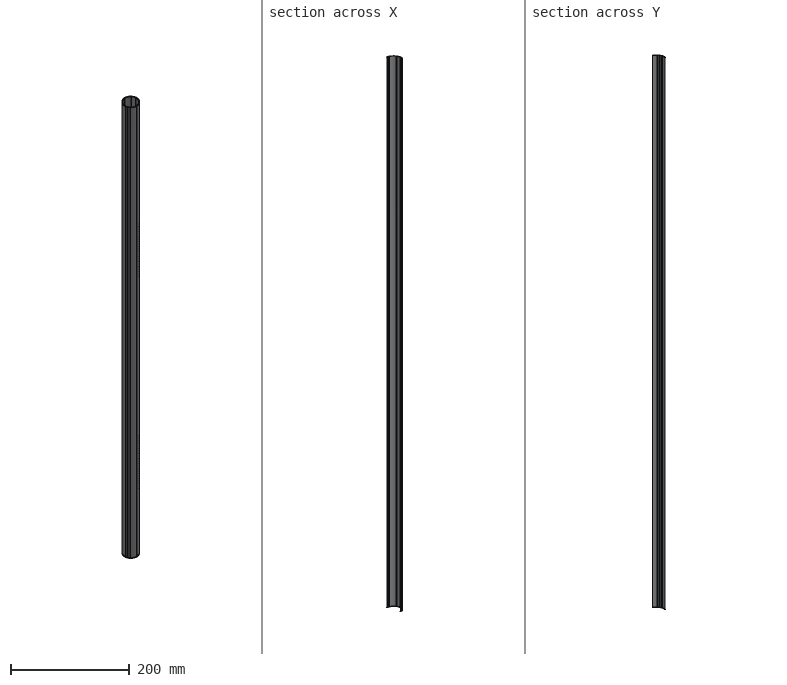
import cadquery as cq

outer_diameter = 30.0
wall_thickness = 1.5
length = 1000.0

rib_width = 1.0
rib_height = 0.5
rib_root = wall_thickness / 3
pair_half_angle = 18.0
axis_angles = (0.0, 90.0, 180.0, 270.0)
single_rib_angle = 270.0

outer_radius = outer_diameter / 2
bore_radius = outer_radius - wall_thickness


def make_tube():
    """Round tube centred on Z, standing on the XY plane."""
    return cq.Workplane("XY").circle(outer_radius).circle(bore_radius).extrude(length)


def make_rib(angle):
    """Straight rib on the bore wall at the given angle about Z."""
    rib = cq.Workplane("XY").box(
        rib_height + rib_root, rib_width, length, centered=(False, True, False)
    )
    rib = rib.translate((bore_radius - rib_height, 0, 0))
    return rib.rotate((0, 0, 0), (0, 0, 1), angle)


def rib_angles():
    """A pair of ribs about each axis direction, and the single rib."""
    angles = [single_rib_angle]
    for axis_angle in axis_angles:
        angles.append(axis_angle - pair_half_angle)
        angles.append(axis_angle + pair_half_angle)
    return angles


result = make_tube()
for rib_angle in rib_angles():
    result = result.union(make_rib(rib_angle))